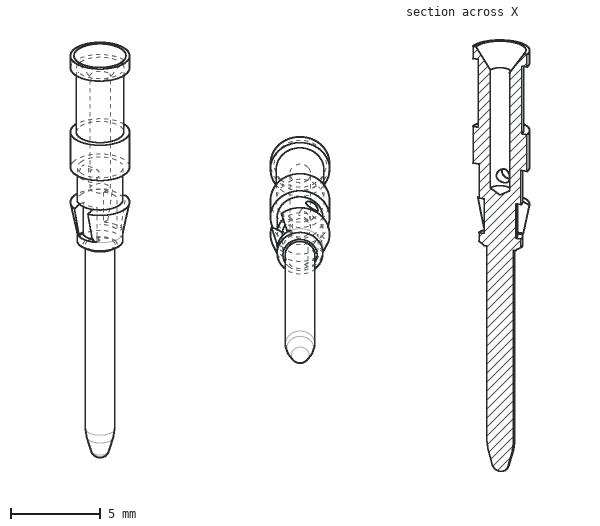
import cadquery as cq
import math

LENGTH = 25.0
FLANGE_BOTTOM = 24.25
COLLAR_TOP = 20.25
COLLAR_BOTTOM = 18.05
BARB_CROWN = 16.02
BARB_RIM = 15.88
BARB_BOTTOM = 14.0
SHOULDER_CHAMFER_TOP = 13.48
SHOULDER_BOTTOM = 13.25
PIN_BOTTOM = 1.78
TAPER_TOP = 1.25
NOSE_TOP = 0.38

FLANGE_RADIUS = 1.65
BARREL_RADIUS = 1.32
NECK_RADIUS = 1.28
SHOULDER_BOTTOM_RADIUS = 0.95
PIN_RADIUS = 0.82
TAPER_TOP_RADIUS = 0.75
NOSE_RADIUS = 0.5

FUNNEL_RADIUS = 1.45
FUNNEL_DEPTH = 1.25
BORE_RADIUS = 0.58
BORE_BOTTOM = 16.75
DRILL_TIP_DEPTH = 0.32

HOLE_RADIUS = 0.4
HOLE_HEIGHT = 17.35

SLOT_WIDTH = 1.0
SLOT_FLOOR_RADIUS = 0.98
SLOT_FOOT_FLARE = 0.15


def turned_body():
    """Revolve the stepped half outline, from the tip up, about Z."""
    nose_sphere_radius = (NOSE_RADIUS**2 + NOSE_TOP**2) / (2 * NOSE_TOP)
    half_angle = math.asin(NOSE_RADIUS / nose_sphere_radius) / 2
    nose_middle = (
        nose_sphere_radius * math.sin(half_angle),
        nose_sphere_radius * (1 - math.cos(half_angle)),
    )
    outline = (
        cq.Workplane("XZ")
        .moveTo(0, 0)
        .threePointArc(nose_middle, (NOSE_RADIUS, NOSE_TOP))
        .lineTo(TAPER_TOP_RADIUS, TAPER_TOP)
        .lineTo(PIN_RADIUS, PIN_BOTTOM)
        .lineTo(PIN_RADIUS, SHOULDER_BOTTOM)
        .lineTo(SHOULDER_BOTTOM_RADIUS, SHOULDER_BOTTOM)
        .lineTo(NECK_RADIUS, SHOULDER_CHAMFER_TOP)
        .lineTo(NECK_RADIUS, BARB_BOTTOM)
        .lineTo(FLANGE_RADIUS, BARB_RIM)
        .lineTo(NECK_RADIUS, BARB_CROWN)
        .lineTo(NECK_RADIUS, COLLAR_BOTTOM)
        .lineTo(FLANGE_RADIUS, COLLAR_BOTTOM)
        .lineTo(FLANGE_RADIUS, COLLAR_TOP)
        .lineTo(BARREL_RADIUS, COLLAR_TOP)
        .lineTo(BARREL_RADIUS, FLANGE_BOTTOM)
        .lineTo(FLANGE_RADIUS, FLANGE_BOTTOM)
        .lineTo(FLANGE_RADIUS, LENGTH)
        .lineTo(0, LENGTH)
        .close()
    )
    return outline.revolve(360, (0, 0, 0), (0, 1, 0))


def wire_bore():
    """Revolve the funnel, bore and drill tip as one cutting body about Z."""
    return (
        cq.Workplane("XZ")
        .moveTo(0, BORE_BOTTOM - DRILL_TIP_DEPTH)
        .lineTo(BORE_RADIUS, BORE_BOTTOM)
        .lineTo(BORE_RADIUS, LENGTH - FUNNEL_DEPTH)
        .lineTo(FUNNEL_RADIUS, LENGTH)
        .lineTo(0, LENGTH)
        .close()
        .revolve(360, (0, 0, 0), (0, 1, 0))
    )


def inspection_hole():
    """Radial hole from the -X side of the neck to the axis."""
    return (
        cq.Workplane("YZ", origin=(-NECK_RADIUS, 0, HOLE_HEIGHT))
        .circle(HOLE_RADIUS)
        .extrude(NECK_RADIUS)
    )


def barb_slots():
    """Slots through both sides of the barb, flared at the foot, down to a round floor."""
    half_width = SLOT_WIDTH / 2
    foot_half_width = half_width + SLOT_FOOT_FLARE
    foot_top = BARB_BOTTOM + SLOT_FOOT_FLARE
    slot = (
        cq.Workplane("XZ")
        .polyline(
            [
                (-foot_half_width, BARB_BOTTOM),
                (foot_half_width, BARB_BOTTOM),
                (half_width, foot_top),
                (half_width, BARB_CROWN),
                (-half_width, BARB_CROWN),
                (-half_width, foot_top),
            ]
        )
        .close()
        .extrude(FLANGE_RADIUS, both=True)
    )
    core = (
        cq.Workplane("XY", origin=(0, 0, BARB_BOTTOM))
        .circle(SLOT_FLOOR_RADIUS)
        .extrude(BARB_CROWN - BARB_BOTTOM)
    )
    return slot.cut(core)


result = turned_body().cut(wire_bore()).cut(inspection_hole()).cut(barb_slots())